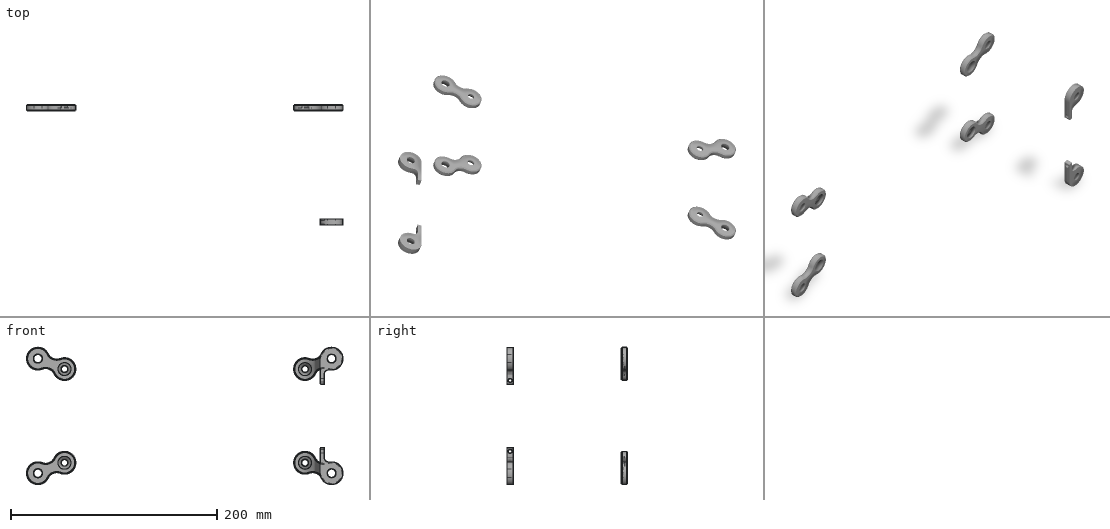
import cadquery as cq
import math

LENGTH_X = 306.8
DEPTH_Y = 117.0
HEIGHT_Z = 133.0

THICKNESS = 6.0
EYE_RADIUS = 11.0
PIVOT_DIAMETER = 8.0
PIVOT_X = LENGTH_X / 2 - EYE_RADIUS
PIVOT_Z = HEIGHT_Z / 2 - EYE_RADIUS

SCREW_STEP_X = 25.8
SCREW_STEP_Z = 10.0
WAIST_RADIUS = 9.2
RIM_CHAMFER = 1.07
HOLE_CHAMFER = 0.45
SCREW_DIAMETER = 6.0
HEAD_DIAMETER = 12.5
COUNTERBORE_DEPTH = THICKNESS / 2
COUNTERSINK_DEPTH = 3.7
LINK_FRONT_Y = DEPTH_Y / 2 - THICKNESS

TAB_THICKNESS = 4.0
TAB_END_Z = 30.7
TAB_END_FILLET = 1.0
TAB_CORNER_RADIUS = TAB_THICKNESS
TAB_HOLE_FROM_END = 3.7
TAB_HOLE_DIAMETER = 3.5
TAB_HOLE_MOUTH_DIAMETER = 4.0
BRACKET_FRONT_Y = -DEPTH_Y / 2
BRACKET_MIDDLE_Y = BRACKET_FRONT_Y + THICKNESS / 2
BRACKET_LEFT_X = PIVOT_X - EYE_RADIUS

SMALLEST_RADIUS = cq.selectors.RadiusNthSelector(0)


def plate(outline, front_y):
    """Extrude an X-Z outline toward +Y, starting from front_y."""
    return outline.extrude(-THICKNESS).translate((0, front_y, 0))


def round_hole(diameter, x, z, front_y):
    """Cutter through a plate along Y."""
    return plate(cq.Workplane("XZ").center(x, z).circle(diameter / 2), front_y)


def link_outline(pivot, screw):
    """Two equal eyes joined by a waist of two concave arcs tangent to both eyes."""
    span_x = screw[0] - pivot[0]
    span_z = screw[1] - pivot[1]
    span = math.hypot(span_x, span_z)
    along = (span_x / span, span_z / span)
    across = (-along[1], along[0])

    arc_offset = math.sqrt((EYE_RADIUS + WAIST_RADIUS) ** 2 - (span / 2) ** 2)
    waist_half_width = arc_offset - WAIST_RADIUS
    eye_share = EYE_RADIUS / (EYE_RADIUS + WAIST_RADIUS)
    tangent_along = span / 2 * eye_share
    tangent_across = arc_offset * eye_share

    def point(distance_along, distance_across):
        return (
            pivot[0] + distance_along * along[0] + distance_across * across[0],
            pivot[1] + distance_along * along[1] + distance_across * across[1],
        )

    return (
        cq.Workplane("XZ")
        .moveTo(*point(tangent_along, tangent_across))
        .threePointArc(point(-EYE_RADIUS, 0), point(tangent_along, -tangent_across))
        .threePointArc(point(span / 2, -waist_half_width), point(span - tangent_along, -tangent_across))
        .threePointArc(point(span + EYE_RADIUS, 0), point(span - tangent_along, tangent_across))
        .threePointArc(point(span / 2, waist_half_width), point(tangent_along, tangent_across))
        .close()
    )


def add_counterbored_hole(body, screw):
    """Screw hole with chamfered ends and a flat-bottomed round recess in the front face."""
    recess = cq.Workplane("XZ").center(*screw).circle(HEAD_DIAMETER / 2).extrude(-COUNTERBORE_DEPTH)
    body = body.cut(round_hole(SCREW_DIAMETER, *screw, LINK_FRONT_Y))
    body = body.cut(recess.translate((0, LINK_FRONT_Y, 0)))
    return body.edges(SMALLEST_RADIUS).chamfer(HOLE_CHAMFER)


def add_countersunk_hole(body, screw):
    """Screw hole with a conical recess in the front face."""
    cone = cq.Solid.makeCone(
        HEAD_DIAMETER / 2,
        SCREW_DIAMETER / 2,
        COUNTERSINK_DEPTH,
        cq.Vector(screw[0], LINK_FRONT_Y, screw[1]),
        cq.Vector(0, 1, 0),
    )
    body = body.cut(round_hole(SCREW_DIAMETER, *screw, LINK_FRONT_Y))
    return body.cut(cq.Workplane(obj=cone))


def make_link(side_x, side_z):
    """Link in one corner of the layout, its screw eye toward the middle."""
    pivot = (side_x * PIVOT_X, side_z * PIVOT_Z)
    screw = (side_x * (PIVOT_X - SCREW_STEP_X), side_z * (PIVOT_Z - SCREW_STEP_Z))

    body = plate(link_outline(pivot, screw), LINK_FRONT_Y)
    body = body.faces("<Y or >Y").edges().chamfer(RIM_CHAMFER)

    body = body.cut(round_hole(PIVOT_DIAMETER, *pivot, LINK_FRONT_Y))
    body = body.edges(SMALLEST_RADIUS).chamfer(HOLE_CHAMFER)

    if side_x == side_z:
        return add_countersunk_hole(body, screw)
    return add_counterbored_hole(body, screw)


def bracket_outline(side_z):
    """Round eye whose left side runs straight on into a flat tab toward the middle height."""
    tab_right_x = BRACKET_LEFT_X + TAB_THICKNESS
    eye_inner_z = PIVOT_Z - EYE_RADIUS
    eye_diagonal = EYE_RADIUS * math.sqrt(0.5)
    corner_bulge = TAB_CORNER_RADIUS * (1 - math.sqrt(0.5))

    def point(x, z):
        return (x, side_z * z)

    return (
        cq.Workplane("XZ")
        .moveTo(*point(BRACKET_LEFT_X, TAB_END_Z))
        .lineTo(*point(BRACKET_LEFT_X, PIVOT_Z))
        .threePointArc(
            point(PIVOT_X + eye_diagonal, PIVOT_Z + eye_diagonal),
            point(PIVOT_X, eye_inner_z),
        )
        .lineTo(*point(tab_right_x + TAB_CORNER_RADIUS, eye_inner_z))
        .threePointArc(
            point(tab_right_x + corner_bulge, eye_inner_z - corner_bulge),
            point(tab_right_x, eye_inner_z - TAB_CORNER_RADIUS),
        )
        .lineTo(*point(tab_right_x, TAB_END_Z))
        .close()
    )


def tab_hole(side_z):
    """Cutter along X through the tab, with a 45 degree chamfer at its left mouth."""
    centre = cq.Vector(BRACKET_LEFT_X, BRACKET_MIDDLE_Y, side_z * (TAB_END_Z + TAB_HOLE_FROM_END))
    along_x = cq.Vector(1, 0, 0)
    hole_radius = TAB_HOLE_DIAMETER / 2
    mouth_radius = TAB_HOLE_MOUTH_DIAMETER / 2
    hole = cq.Solid.makeCylinder(hole_radius, TAB_THICKNESS, centre, along_x)
    mouth = cq.Solid.makeCone(mouth_radius, hole_radius, mouth_radius - hole_radius, centre, along_x)
    return cq.Workplane(obj=hole).union(cq.Workplane(obj=mouth))


def make_bracket(side_z):
    """Bracket in front of the right-hand links, upper (1) or lower (-1)."""
    body = plate(bracket_outline(side_z), BRACKET_FRONT_Y)
    tab_end_edge = cq.selectors.NearestToPointSelector(
        (BRACKET_LEFT_X, BRACKET_MIDDLE_Y, side_z * TAB_END_Z)
    )
    body = body.edges(tab_end_edge).fillet(TAB_END_FILLET)
    body = body.cut(round_hole(PIVOT_DIAMETER, PIVOT_X, side_z * PIVOT_Z, BRACKET_FRONT_Y))
    return body.cut(tab_hole(side_z))


SIDES = (-1, 1)
links = [make_link(side_x, side_z) for side_x in SIDES for side_z in SIDES]
brackets = [make_bracket(side_z) for side_z in SIDES]

result = cq.Compound.makeCompound([body.val() for body in links + brackets])